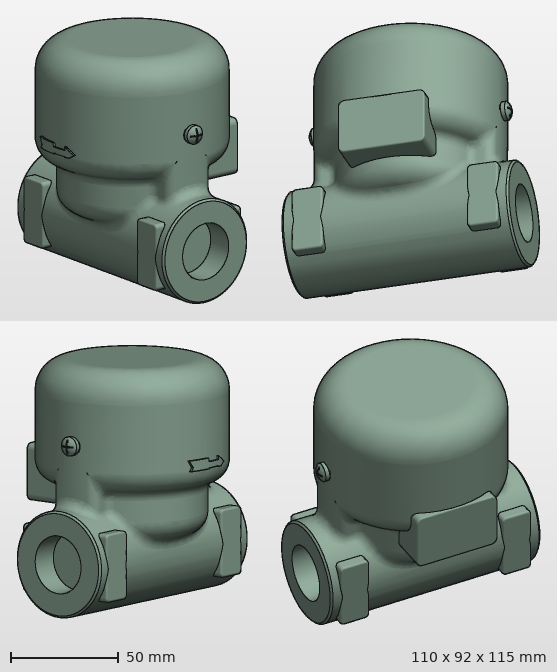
import cadquery as cq
import math

tube_length = 110.0
tube_radius = 25.0
tube_chamfer = 1.0
bore_radius = 27.2 / 2
bore_depth = 13.5

body_top = 90.0
body_radius = 45.0
dome_radius = 15.0
lower_radius = 35.0
shoulder_radius = body_radius - lower_radius
throat_radius = 5.0
throat_bottom = 28.5
lower_bottom = 18.0
lower_fillet = 10.0
arc_reach = shoulder_radius + throat_radius
shoulder_z = throat_bottom + math.sqrt(arc_reach ** 2 - throat_radius ** 2)

neck_half_width = 12.5
neck_edge_radius = 5.0
junction_fillet = 5.0
neck_side_end = math.sqrt((body_radius - neck_edge_radius) ** 2 - (neck_half_width - neck_edge_radius) ** 2)

tolerance = 0.01
sample_fraction = 0.4

pad_length = 15.0
pad_height = 32.0
pad_outer_x = 50.0
pad_corner_radius = 2.0
pad_edge_radius = 1.0

boss_width = 42.0
boss_bottom = 20.5
boss_top = 47.5
boss_face_y = 46.0
boss_corner_radius = 3.0
boss_edge_radius = 0.8

arrow_radius = 46.0
arrow_z = 44.5
arrow_half_height = 3.3
shaft_half_height = 1.5
tail_x = -12.8
tail_notch_x = -10.7
tail_end_x = -1.0
shaft_start_x = -0.2
head_start_x = 7.1
tip_x = 12.5

screw_z = 54.5
screw_radius = 9.0 / 2
screw_seat_x = 88.6 / 2
screw_rim_x = 46.9
screw_tip_x = 49.0
cross_length = 6.6
cross_width = 0.5
cross_depth = 1.0


def box_between(x0, x1, y0, y1, z0, z1):
    """Box given by its limits on each axis."""
    return cq.Workplane("XY").box(x1 - x0, y1 - y0, z1 - z0, centered=False).translate((x0, y0, z0))


def make_body():
    """Turned body: domed top, straight wall, rounded shoulder, throat and lower bowl."""
    diagonal = math.sqrt(0.5)
    dome_start = body_radius - dome_radius
    bowl_start = lower_radius - lower_fillet
    unit_r = throat_radius / arc_reach
    unit_z = (throat_bottom - shoulder_z) / arc_reach
    meet = (lower_radius + shoulder_radius * unit_r, shoulder_z + shoulder_radius * unit_z)
    shoulder_angle = math.atan2(unit_z, unit_r) / 2
    throat_centre_r = lower_radius + throat_radius
    throat_mid_angle = (math.pi + math.atan2(-unit_z, -unit_r)) / 2
    return (
        cq.Workplane("XZ")
        .moveTo(0, lower_bottom - lower_fillet)
        .lineTo(bowl_start, lower_bottom - lower_fillet)
        .threePointArc(
            (bowl_start + lower_fillet * diagonal, lower_bottom - lower_fillet * diagonal),
            (lower_radius, lower_bottom),
        )
        .lineTo(lower_radius, throat_bottom)
        .threePointArc(
            (
                throat_centre_r + throat_radius * math.cos(throat_mid_angle),
                throat_bottom + throat_radius * math.sin(throat_mid_angle),
            ),
            meet,
        )
        .threePointArc(
            (
                lower_radius + shoulder_radius * math.cos(shoulder_angle),
                shoulder_z + shoulder_radius * math.sin(shoulder_angle),
            ),
            (body_radius, shoulder_z),
        )
        .lineTo(body_radius, body_top - dome_radius)
        .threePointArc(
            (dome_start + dome_radius * diagonal, body_top - dome_radius + dome_radius * diagonal),
            (dome_start, body_top),
        )
        .lineTo(0, body_top)
        .close()
        .revolve(360, (0, 0, 0), (0, 1, 0))
    )


def make_necks():
    """Upright web under the body: both ends follow the body wall and have rounded edges."""
    web = box_between(-body_radius, body_radius, -neck_half_width, neck_half_width, 0, shoulder_z)
    wall = cq.Workplane("XY").circle(body_radius).extrude(shoulder_z)
    return web.intersect(wall).edges("|Z").fillet(neck_edge_radius)


def make_tube():
    """Solid flow tube with chamfered ends."""
    return (
        cq.Workplane("YZ")
        .circle(tube_radius)
        .extrude(tube_length / 2, both=True)
        .faces("<X or >X")
        .chamfer(tube_chamfer)
    )


def lies_on_tube(edge):
    """True for the edges where the body and necks meet the tube."""
    point = edge.positionAt(sample_fraction)
    on_wall = math.isclose(math.hypot(point.y, point.z), tube_radius, abs_tol=tolerance)
    return on_wall and point.z > tolerance and abs(point.x) < body_radius + tolerance


def lies_on_neck_side(edge):
    """True for the edges where the flat neck sides meet the turned body."""
    point = edge.positionAt(sample_fraction)
    on_side = math.isclose(abs(point.y), neck_half_width, abs_tol=tolerance)
    inside_rounding = abs(point.x) < neck_side_end - tolerance
    above_tube = math.hypot(point.y, point.z) > tube_radius + tolerance
    return on_side and inside_rounding and above_tube


def make_casting():
    """Body, necks and tube as one casting with rounded inside corners."""
    casting = make_body().union(make_necks()).union(make_tube())
    corners = [
        edge for edge in casting.edges().vals() if lies_on_tube(edge) or lies_on_neck_side(edge)
    ]
    return casting.newObject(corners).fillet(junction_fillet)


def make_pads(x_sign):
    """Pair of flat wrench pads on the front and back of one tube end."""
    centre_x = x_sign * (pad_outer_x - pad_length / 2)
    return (
        cq.Workplane("XY")
        .box(pad_length, 2 * tube_radius, pad_height)
        .edges("|Y")
        .fillet(pad_corner_radius)
        .faces("<Y or >Y")
        .edges()
        .fillet(pad_edge_radius)
        .translate((centre_x, 0, 0))
    )


def make_plate_boss():
    """Rectangular boss that reaches out from the body to the +Y side."""
    return (
        box_between(-boss_width / 2, boss_width / 2, 0, boss_face_y, boss_bottom, boss_top)
        .edges("|Y")
        .fillet(boss_corner_radius)
        .faces(">Y")
        .edges()
        .fillet(boss_edge_radius)
    )


def make_arrow():
    """Raised arrow that points along +X and ends flush with the start of the shoulder."""
    top = arrow_z + arrow_half_height
    bottom = arrow_z - arrow_half_height
    shaft_top = arrow_z + shaft_half_height
    shaft_bottom = arrow_z - shaft_half_height
    outline = [
        (tail_x, bottom),
        (tail_notch_x, arrow_z),
        (tail_x, top),
        (tail_end_x, top),
        (shaft_start_x, shaft_top),
        (head_start_x, shaft_top),
        (head_start_x, top),
        (tip_x, arrow_z),
        (head_start_x, bottom),
        (head_start_x, shaft_bottom),
        (shaft_start_x, shaft_bottom),
        (tail_end_x, bottom),
    ]
    prism = cq.Workplane("XZ").polyline(outline).close().extrude(arrow_radius)
    band = cq.Workplane("XY").workplane(offset=shoulder_z).circle(arrow_radius).extrude(top - shoulder_z)
    return prism.intersect(band)


def make_bore(x_sign):
    """Cutter for the blind bore in one tube end."""
    face_x = x_sign * tube_length / 2
    return cq.Workplane("YZ").workplane(offset=face_x).circle(bore_radius).extrude(-x_sign * bore_depth)


def place_at_side(shape, x_sign):
    """Move a shape made along +Z onto the +X or -X side of the body, at screw height."""
    return shape.rotate((0, 0, 0), (0, 1, 0), x_sign * 90).translate((0, 0, screw_z))


def make_screw_seat(x_sign):
    """Cutter for the flat seat under one screw head."""
    seat = (
        cq.Workplane("XY")
        .workplane(offset=screw_seat_x)
        .circle(screw_radius)
        .extrude(screw_tip_x - screw_seat_x)
    )
    return place_at_side(seat, x_sign)


def make_screw(x_sign):
    """Domed screw head with a cross recess, seated on the body wall."""
    dome_height = screw_tip_x - screw_rim_x
    dome_sphere_radius = (screw_radius ** 2 + dome_height ** 2) / (2 * dome_height)
    mid_radius = screw_radius / 2
    mid_x = screw_tip_x - dome_sphere_radius + math.sqrt(dome_sphere_radius ** 2 - mid_radius ** 2)
    screw = (
        cq.Workplane("XZ")
        .moveTo(0, screw_seat_x)
        .lineTo(screw_radius, screw_seat_x)
        .lineTo(screw_radius, screw_rim_x)
        .threePointArc((mid_radius, mid_x), (0, screw_tip_x))
        .close()
        .revolve(360, (0, 0, 0), (0, 1, 0))
    )
    for size_x, size_y in ((cross_length, cross_width), (cross_width, cross_length)):
        slot = cq.Workplane("XY").box(size_x, size_y, 2 * cross_depth)
        screw = screw.cut(slot.translate((0, 0, screw_tip_x)))
    return place_at_side(screw, x_sign)


def make_housing():
    """Complete housing: casting with pads, boss and arrow, bores and screw seats cut in."""
    housing = make_casting().union(make_plate_boss()).union(make_arrow())
    for x_sign in (-1, 1):
        housing = housing.union(make_pads(x_sign))
        housing = housing.cut(make_bore(x_sign))
        housing = housing.cut(make_screw_seat(x_sign))
    return housing


housing = make_housing()
screws = [make_screw(x_sign) for x_sign in (-1, 1)]
result = cq.Compound.makeCompound([housing.val(), *[screw.val() for screw in screws]])